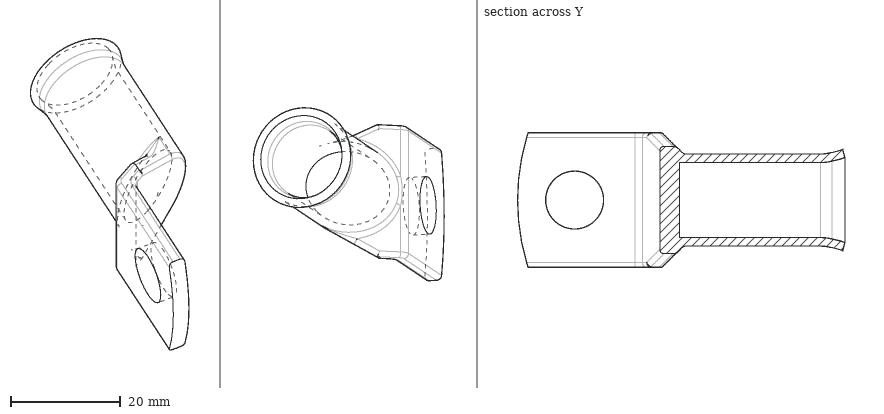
import cadquery as cq
import math

barrel_radius = 8.4
wall = 1.6
bore_radius = barrel_radius - wall
flare_radius = 9.25
flare_angle = math.radians(15)
flare_bend_radius = 6.4
inner_rim = (0, flare_radius - wall * math.cos(flare_angle))
outer_rim = (wall * math.sin(flare_angle), flare_radius)

overall_length = 59.6
overall_depth = 18.8
palm_width = 24.5
palm_thickness = 2 * wall
palm_bottom_y = flare_radius - overall_depth
palm_top_y = palm_bottom_y + palm_thickness
palm_end_radius = 40.0
hole_diameter = 10.5
hole_x = 49.2

neck_angle = math.radians(60)
neck_top_x = 28.8
shoulder_angle = math.radians(30)
rear_bend_radius = 1.5
front_bend_radius = 2.0

edge_radius = 0.9
root_radius = 1.1

half_width = palm_width / 2
tangent_y = barrel_radius * math.sin(shoulder_angle)
tangent_z = barrel_radius * math.cos(shoulder_angle)
shoulder_y = tangent_y - (half_width - tangent_z) / math.tan(shoulder_angle)


def rear_x(y):
    """X of the sloping rear face of the neck at height y."""
    return neck_top_x + (barrel_radius - y) / math.tan(neck_angle)


def front_x(y):
    """X of the sloping front face of the neck at height y."""
    return rear_x(y) - palm_thickness / math.sin(neck_angle)


def shoulder_z(y):
    """Half-width of the sloping shoulders at height y."""
    return tangent_z + (tangent_y - y) * math.tan(shoulder_angle)


def flared_cylinder(radius, bend_radius, rim):
    """Solid of revolution about X: mouth rim, flare cone, bend and straight run past the neck.

    The rim is a list of (x, radius) points, and the cone starts at the last of them.
    """
    cone_x, cone_radius = rim[-1]
    bend_start_radius = radius + bend_radius * (1 - math.cos(flare_angle))
    bend_start_x = cone_x + (cone_radius - bend_start_radius) / math.tan(flare_angle)
    bend_end_x = bend_start_x + bend_radius * math.sin(flare_angle)
    half_angle = flare_angle / 2
    bend_middle = (
        bend_end_x - bend_radius * math.sin(half_angle),
        radius + bend_radius * (1 - math.cos(half_angle)),
    )
    return (
        cq.Workplane("XY")
        .polyline([(0, 0), *rim, (bend_start_x, bend_start_radius)])
        .threePointArc(bend_middle, (bend_end_x, radius))
        .lineTo(overall_length, radius)
        .lineTo(overall_length, 0)
        .close()
        .revolve(360, (0, 0, 0), (1, 0, 0))
    )


def space_before(slope_x):
    """Block on the mouth side of a sloping neck face."""
    return (
        cq.Workplane("XY")
        .moveTo(0, palm_bottom_y)
        .lineTo(slope_x(palm_bottom_y), palm_bottom_y)
        .lineTo(slope_x(flare_radius), flare_radius)
        .lineTo(0, flare_radius)
        .close()
        .extrude(half_width, both=True)
    )


def barrel():
    """Solid barrel cut off by the rear face of the neck, its rim square across the flare wall."""
    outside = flared_cylinder(barrel_radius, flare_bend_radius, [inner_rim, outer_rim])
    return outside.intersect(space_before(rear_x))


def bore():
    """Blind bore, parallel to the outside and closed by the front face of the neck."""
    inside = flared_cylinder(bore_radius, flare_bend_radius + wall, [inner_rim])
    return inside.intersect(space_before(front_x))


def bent_strip():
    """Full-width strip forming neck and palm, ending level with the tangent lines on the barrel."""
    front_bend = cq.selectors.NearestToPointSelector((front_x(palm_bottom_y), palm_bottom_y, 0))
    rear_bend = cq.selectors.NearestToPointSelector((rear_x(palm_top_y), palm_top_y, 0))
    return (
        cq.Workplane("XY")
        .moveTo(front_x(tangent_y), tangent_y)
        .lineTo(front_x(palm_bottom_y), palm_bottom_y)
        .lineTo(overall_length, palm_bottom_y)
        .lineTo(overall_length, palm_top_y)
        .lineTo(rear_x(palm_top_y), palm_top_y)
        .lineTo(rear_x(tangent_y), tangent_y)
        .close()
        .extrude(half_width, both=True)
        .edges(rear_bend)
        .fillet(rear_bend_radius)
        .edges(front_bend)
        .fillet(front_bend_radius)
    )


def outside_shoulder(side):
    """Wedge outside one sloping shoulder; side is 1 for +Z and -1 for -Z.

    It starts just ahead of the root fillet and reaches above the tangent line.
    """
    start_x = front_x(tangent_y) - 2 * root_radius
    top_y = (tangent_y + barrel_radius) / 2
    return (
        cq.Workplane("YZ", origin=(start_x, 0, 0))
        .moveTo(shoulder_y, side * half_width)
        .lineTo(top_y, side * shoulder_z(top_y))
        .lineTo(top_y, side * palm_width)
        .lineTo(shoulder_y, side * palm_width)
        .close()
        .extrude(overall_length)
    )


def filleted_body():
    """Barrel filleted into the bent strip, then trimmed to the shoulders."""
    root_edge = cq.selectors.NearestToPointSelector((front_x(0), 0, 0))
    joined = barrel().union(bent_strip()).edges(root_edge).fillet(root_radius)
    return joined.cut(outside_shoulder(1)).cut(outside_shoulder(-1))


def round_edges(solid):
    """Round the outline of the plate on both faces; each edge carries its tangent chain along."""
    front_y = shoulder_y / 2
    edges = []
    for side in (-1, 1):
        for point in (
            (hole_x, palm_bottom_y, half_width),
            (hole_x, palm_top_y, half_width),
            (front_x(front_y), front_y, shoulder_z(front_y)),
            (rear_x(0), 0, shoulder_z(0)),
        ):
            nearest = cq.selectors.NearestToPointSelector((point[0], point[1], side * point[2]))
            edges.append(solid.edges(nearest).val())
    return solid.newObject(edges).fillet(edge_radius)


def palm_end():
    """Cylinder whose +X side is the rounded end of the palm."""
    centre_x = overall_length - palm_end_radius
    return cq.Workplane("XZ").center(centre_x, 0).circle(palm_end_radius).extrude(overall_depth, both=True)


def bolt_hole():
    return cq.Workplane("XZ").center(hole_x, 0).circle(hole_diameter / 2).extrude(overall_depth)


body = round_edges(filleted_body())
result = body.cut(bore()).cut(bolt_hole()).intersect(palm_end())